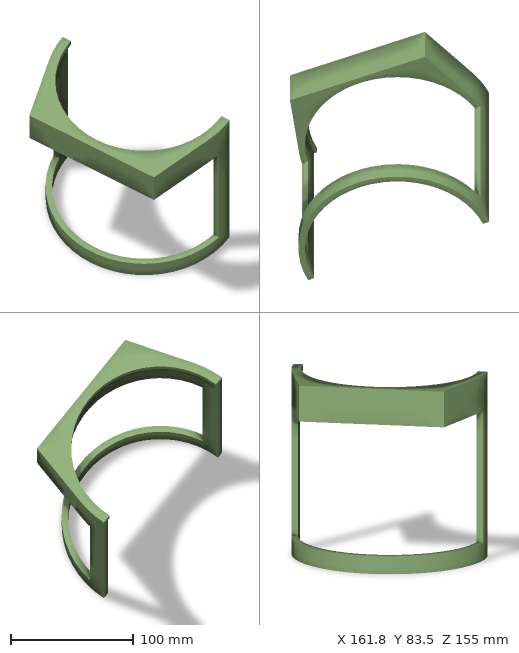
import cadquery as cq
import math

outer_radius = 80.9
main_bore_radius = 75.5
lip_bore_radius = 73.0
lip_height = 5.0
depth = 83.5
height = 155.0
upper_height = 30.0
rail_size = 15.0
front_half_width = 60.3

back_y = depth - outer_radius
front_y = -outer_radius
upper_bottom = height - upper_height


def box_between(y_min, y_max, z_min, z_max):
    """Full-width box between the given depth and height limits."""
    return (
        cq.Workplane("XY", origin=(0, 0, z_min))
        .center(0, (y_min + y_max) / 2)
        .rect(2 * outer_radius, y_max - y_min)
        .extrude(z_max - z_min)
    )


def make_lower_frame():
    """Half ring with a post rising at each end, cut from one tube."""
    tube = cq.Workplane("XY").circle(outer_radius).circle(main_bore_radius).extrude(height)
    ring_space = box_between(front_y, back_y, 0, rail_size)
    post_space = box_between(back_y - rail_size, back_y, 0, height)
    return tube.intersect(ring_space.union(post_space))


def make_upper_bracket():
    """Round-backed bracket whose straight sides run tangentially to a flat front."""
    corner_distance = math.hypot(front_half_width, front_y)
    corner_angle = math.atan2(front_y, front_half_width)
    tangent_angle = corner_angle + math.acos(outer_radius / corner_distance)
    tangent_x = outer_radius * math.cos(tangent_angle)
    tangent_y = outer_radius * math.sin(tangent_angle)
    back_x = math.sqrt(outer_radius**2 - back_y**2)

    blank = (
        cq.Workplane("XY", origin=(0, 0, upper_bottom))
        .moveTo(-back_x, back_y)
        .threePointArc((-outer_radius, 0), (-tangent_x, tangent_y))
        .lineTo(-front_half_width, front_y)
        .lineTo(front_half_width, front_y)
        .lineTo(tangent_x, tangent_y)
        .threePointArc((outer_radius, 0), (back_x, back_y))
        .close()
        .extrude(upper_height)
    )
    main_bore = cq.Workplane("XY").circle(main_bore_radius).extrude(height - lip_height)
    lip_bore = cq.Workplane("XY").circle(lip_bore_radius).extrude(height)
    return blank.cut(main_bore).cut(lip_bore)


result = make_lower_frame().union(make_upper_bracket())